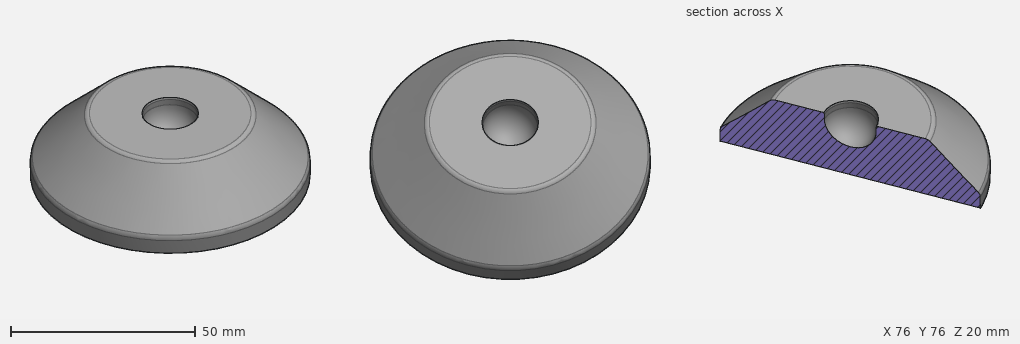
import cadquery as cq

base_diameter = 76.0
height = 20.0
rim_height = 5.0
top_diameter = 45.45
edge_radius = 2.0
socket_diameter = 15.0
socket_wall_depth = 2.35
lead_in_width = 0.15
lead_in_depth = 0.6

base_radius = base_diameter / 2
top_radius = top_diameter / 2
socket_radius = socket_diameter / 2


def make_body():
    """Straight rim carrying a cone, with both circular edges of the cone rounded."""
    body = (
        cq.Workplane("XZ")
        .moveTo(0, 0)
        .lineTo(base_radius, 0)
        .lineTo(base_radius, rim_height)
        .lineTo(top_radius, height)
        .lineTo(0, height)
        .close()
        .revolve(360, (0, 0, 0), (0, 1, 0))
    )
    cone_edges = body.faces("%CONE").edges("%CIRCLE")
    return cone_edges.fillet(edge_radius)


def make_socket():
    """Round-bottomed blind hole with a flared mouth, to remove from the top face."""
    wall_bottom = height - socket_wall_depth
    return (
        cq.Workplane("XZ")
        .moveTo(0, height)
        .lineTo(socket_radius + lead_in_width, height)
        .lineTo(socket_radius, height - lead_in_depth)
        .lineTo(socket_radius, wall_bottom)
        .radiusArc((0, wall_bottom - socket_radius), socket_radius)
        .close()
        .revolve(360, (0, 0, 0), (0, 1, 0))
    )


result = make_body().cut(make_socket())